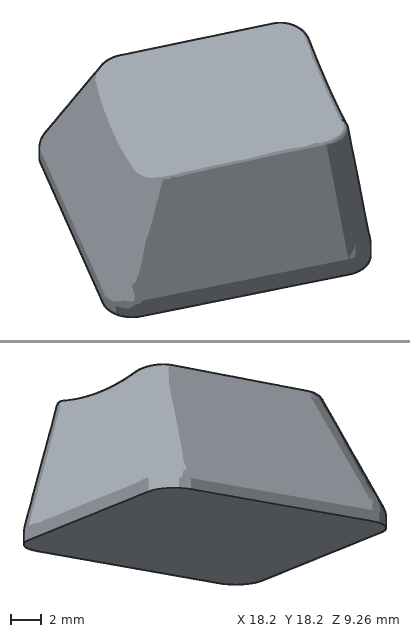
import cadquery as cq
import math

width = 18.16
base_corner_radius = 2.0
skirt_height = 0.75
blend_height = 1.29

body_height = 10.9
side_slope = 0.37
front_slope = 0.4
back_slope = 0.09
top_corner_radius = 1.9

dish_radius = 22.7
dish_bottom = 8.43
dish_tilt = 0.9
dish_length = 2 * width
rim_radius = 0.4


def wall_inset(slope, z):
    """Inward run of a wall at height z: vertical, then a tangent arc, then straight at its slope."""
    if z <= skirt_height:
        return 0.0
    draft = math.atan(slope)
    arc_radius = (blend_height - skirt_height) / math.sin(draft)
    arc_rise = min(z, blend_height) - skirt_height
    arc_inset = arc_radius - math.sqrt(arc_radius**2 - arc_rise**2)
    return arc_inset + slope * max(z - blend_height, 0)


def outline(z, corner_radius):
    """Rounded rectangular wire of the walls at height z."""
    side = wall_inset(side_slope, z)
    front = wall_inset(front_slope, z)
    back = wall_inset(back_slope, z)
    plan = cq.Sketch().rect(width - 2 * side, width - front - back).vertices().fillet(corner_radius)
    center = cq.Vector(0, (front - back) / 2, z)
    return plan.moved(cq.Location(center)).val().Faces()[0].outerWire()


def skirt():
    plan = cq.Sketch().rect(width, width).vertices().fillet(base_corner_radius)
    return cq.Workplane("XY").placeSketch(plan).extrude(skirt_height)


def skirt_blend():
    middle_height = (skirt_height + blend_height) / 2
    heights = [skirt_height, middle_height, blend_height]
    sections = [outline(z, base_corner_radius) for z in heights]
    return cq.Workplane(cq.Solid.makeLoft(sections))


def sloping_walls():
    lower = outline(blend_height, base_corner_radius)
    upper = outline(body_height, top_corner_radius)
    return cq.Workplane(cq.Solid.makeLoft([lower, upper], True))


def dish_cutter():
    tilt = math.radians(dish_tilt)
    axis = cq.Vector(0, math.cos(tilt), math.sin(tilt))
    center = cq.Vector(0, 0, dish_bottom + dish_radius / math.cos(tilt))
    start = center - axis * (dish_length / 2)
    return cq.Workplane(cq.Solid.makeCylinder(dish_radius, dish_length, start, axis))


body = skirt().union(skirt_blend()).union(sloping_walls())
body = body.cut(dish_cutter())
result = body.faces(">Z").edges().fillet(rim_radius)